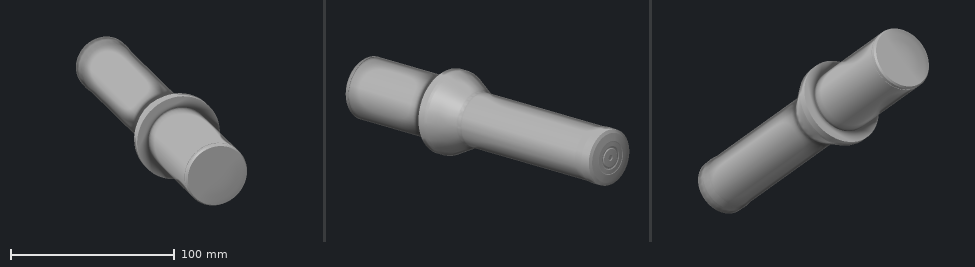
import cadquery as cq
import math

length = 209.0

cap_length = 13.5
crown_x = 7.7
crown_radius = 18.0
lip_x = 1.5
lip_radius = 17.8
face_edge_x = 0.6
face_edge_radius = 15.7
face_flat_radius = 10.7

recess_depth = 0.2
recess_wall_width = 0.5
ring_outer_radius = 7.5
ring_inner_radius = 5.6
ring_wall_width = 0.6
ring_depth = 0.5
dimple_radius = 1.9
dimple_floor_radius = 1.3
dimple_depth = 0.5

neck_radius = 35.0 / 2
collar_radius = 54.0 / 2
flare_start_x = 113.0
flare_angle = 25.7
collar_end_x = 138.8
flare_root_fillet = 5.6
flare_rim_fillet = 4.8
selection_margin = 0.2

shank_radius = 40.0 / 2
relief_radius = 39.5 / 2
relief_width = 1.7
relief_slope_width = 0.6
groove_start_x = 205.2
groove_width = 0.6
end_chamfer_length = 1.3
end_chamfer_height = 0.8


def revolve_about_x(points):
    """Turn a closed (x, radius) outline around the X axis."""
    return cq.Workplane("XY").polyline(points).close().revolve(360, (0, 0, 0), (1, 0, 0))


def make_cap():
    """Crowned cap whose face has a recess, a ring groove and a centre dimple."""
    blank = revolve_about_x([
        (0, 0),
        (0, face_flat_radius),
        (face_edge_x, face_edge_radius),
        (lip_x, lip_radius),
        (crown_x, crown_radius),
        (cap_length, neck_radius),
        (cap_length, 0),
    ])
    recess = revolve_about_x([
        (0, 0),
        (0, face_flat_radius),
        (recess_depth, face_flat_radius - recess_wall_width),
        (recess_depth, 0),
    ])
    ring_floor_x = recess_depth + ring_depth
    ring_groove = revolve_about_x([
        (recess_depth, ring_inner_radius),
        (recess_depth, ring_outer_radius),
        (ring_floor_x, ring_outer_radius - ring_wall_width),
        (ring_floor_x, ring_inner_radius + ring_wall_width),
    ])
    dimple_floor_x = recess_depth + dimple_depth
    dimple = revolve_about_x([
        (recess_depth, 0),
        (recess_depth, dimple_radius),
        (dimple_floor_x, dimple_floor_radius),
        (dimple_floor_x, 0),
    ])
    return blank.cut(recess).cut(ring_groove).cut(dimple)


def make_flared_neck():
    """Neck that flares into the collar, with both ends of the flare rounded."""
    flare_length = (collar_radius - neck_radius) / math.tan(math.radians(flare_angle))
    flare_end_x = flare_start_x + flare_length
    body = revolve_about_x([
        (cap_length, 0),
        (cap_length, neck_radius),
        (flare_start_x, neck_radius),
        (flare_end_x, collar_radius),
        (collar_end_x, collar_radius),
        (collar_end_x, 0),
    ])

    def circle_at(solid, x):
        margin = selection_margin
        box = cq.selectors.BoxSelector((x - margin, -margin, -margin), (x + margin, margin, margin))
        return solid.edges("%CIRCLE").edges(box)

    body = circle_at(body, flare_start_x).fillet(flare_root_fillet)
    return circle_at(body, flare_end_x).fillet(flare_rim_fillet)


def make_shank():
    """Rear shank with its relief, end groove and end chamfer."""
    relief_end_x = collar_end_x + relief_width
    groove_end_x = groove_start_x + groove_width
    return revolve_about_x([
        (collar_end_x, 0),
        (collar_end_x, relief_radius),
        (relief_end_x - relief_slope_width, relief_radius),
        (relief_end_x, shank_radius),
        (groove_start_x, shank_radius),
        (groove_start_x, relief_radius),
        (groove_end_x, relief_radius),
        (groove_end_x, shank_radius),
        (length - end_chamfer_length, shank_radius),
        (length, shank_radius - end_chamfer_height),
        (length, 0),
    ])


cap = make_cap()
holder = make_flared_neck().union(make_shank())

result = cq.Compound.makeCompound([cap.val(), holder.val()])